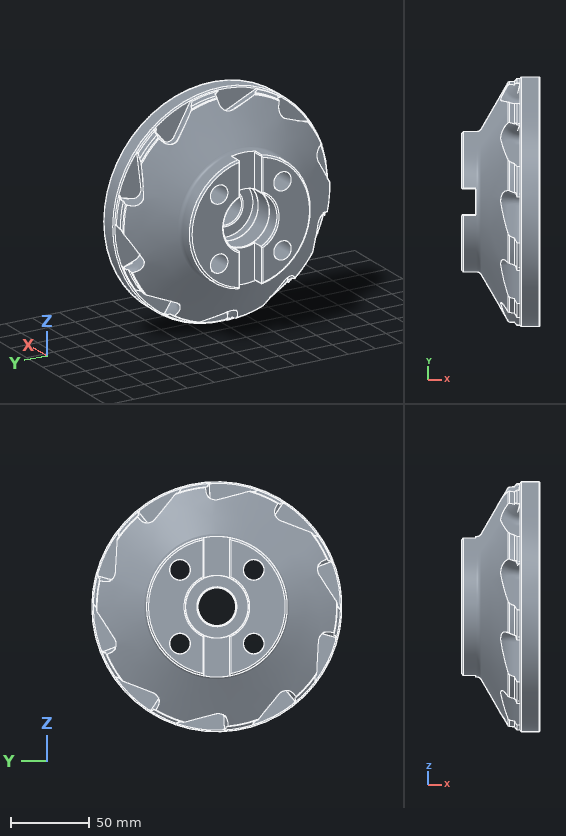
import cadquery as cq
import math

total_length = 50.1

hub_radius = 45.0
hub_chamfer = 1.3
hub_straight_end = 9.7
hub_fillet_end = 12.7
hub_fillet_mid = (11.4, 45.5)

cone_angle = 60.0
cone_start_radius = 47.0
cone_end_radius = 76.6
band_radius = 77.0
band_start = 30.6
band_end = 33.7
shoulder_radius = 79.0
shoulder_start = 35.4

rim_radius = 80.0
rim_start = 37.3
rim_front_chamfer = 1.0
rim_back_chamfer = 0.6

bore_radius = 20.0
bore_mouth_chamfer = 1.0
bore_depth = 31.0
relief_radius = 20.15
relief_start = 10.6
relief_end = 24.5
through_radius = 12.0
through_chamfer = 0.8

slot_width = 16.4
slot_depth = 9.0
slot_chamfer = 0.7
slot_mouth_chamfer = 0.8

bolt_hole_diameter = 13.0
bolt_circle_diameter = 66.7
bolt_count = 4
bolt_start_angle = 45.0

pocket_count = 10
pocket_corner_radius = 5.2
pocket_corner_offset = 0.9
pocket_corner_height = 68.4
pocket_flank_angle = 25.0
pocket_flank_length = 45.0
pocket_wall_lean = 3.0
pocket_sweep_radius = 16.5
pocket_sweep_angle = 90.0


def turned_body():
    """Revolve the outer outline; outline points are (x, radius)."""
    cone_length = (cone_end_radius - cone_start_radius) / math.tan(math.radians(cone_angle))
    return (
        cq.Workplane("XY")
        .moveTo(0, 0)
        .lineTo(0, hub_radius - hub_chamfer)
        .lineTo(hub_chamfer, hub_radius)
        .lineTo(hub_straight_end, hub_radius)
        .threePointArc(hub_fillet_mid, (hub_fillet_end, cone_start_radius))
        .lineTo(hub_fillet_end + cone_length, cone_end_radius)
        .lineTo(band_start, band_radius)
        .lineTo(band_end, band_radius)
        .lineTo(shoulder_start, shoulder_radius)
        .lineTo(rim_start, shoulder_radius)
        .lineTo(rim_start + rim_front_chamfer, rim_radius)
        .lineTo(total_length - rim_back_chamfer, rim_radius)
        .lineTo(total_length, rim_radius - rim_back_chamfer)
        .lineTo(total_length, 0)
        .close()
        .revolve(360, (0, 0, 0), (1, 0, 0))
    )


def bore():
    """Stepped centre bore with a chamfered mouth and a slightly wider relief."""
    return (
        cq.Workplane("XY")
        .moveTo(0, 0)
        .lineTo(0, bore_radius + bore_mouth_chamfer)
        .lineTo(bore_mouth_chamfer, bore_radius)
        .lineTo(relief_start, bore_radius)
        .lineTo(relief_start, relief_radius)
        .lineTo(relief_end, relief_radius)
        .lineTo(relief_end, bore_radius)
        .lineTo(bore_depth, bore_radius)
        .lineTo(bore_depth, through_radius + through_chamfer)
        .lineTo(bore_depth + through_chamfer, through_radius)
        .lineTo(total_length, through_radius)
        .lineTo(total_length, 0)
        .close()
        .revolve(360, (0, 0, 0), (1, 0, 0))
    )


def drive_slot():
    """Slot along Z whose edges at the hub face are chamfered."""
    half = slot_width / 2
    return (
        cq.Workplane("XY")
        .moveTo(0, -half - slot_chamfer)
        .lineTo(slot_chamfer, -half)
        .lineTo(slot_depth, -half)
        .lineTo(slot_depth, half)
        .lineTo(slot_chamfer, half)
        .lineTo(0, half + slot_chamfer)
        .close()
        .extrude(rim_radius, both=True)
    )


def slot_mouths():
    """Flared ends of the slot that chamfer its corners on the outside of the hub."""
    half = slot_width / 2
    corner_z = math.sqrt(hub_radius**2 - half**2)
    throat_z = corner_z - slot_mouth_chamfer
    flare = rim_radius - throat_z
    mouth = (
        cq.Workplane("YZ")
        .moveTo(-half, throat_z)
        .lineTo(-half - flare, rim_radius)
        .lineTo(half + flare, rim_radius)
        .lineTo(half, throat_z)
        .close()
        .extrude(slot_depth)
    )
    return mouth.union(mouth.mirror("XY"))


def bolt_holes():
    """Through holes on the bolt circle, at 45 degrees to the slot."""
    return (
        cq.Workplane("YZ")
        .polarArray(bolt_circle_diameter / 2, bolt_start_angle, 360, bolt_count)
        .circle(bolt_hole_diameter / 2)
        .extrude(total_length)
    )


def chip_pocket():
    """Pocket at the +Z side: its floor outline lies in the rim shoulder plane and is
    revolved toward the hub about an axis parallel to the long sloping flank."""
    flank = math.radians(pocket_flank_angle)
    along_y, along_z = -math.cos(flank), math.sin(flank)
    outward_y, outward_z = math.sin(flank), math.cos(flank)
    lean = math.radians(pocket_wall_lean)
    centre_y, centre_z = -pocket_corner_offset, pocket_corner_height

    wall_start = (
        centre_y + pocket_corner_radius * math.cos(lean),
        centre_z - pocket_corner_radius * math.sin(lean),
    )
    middle_turn = (lean + math.pi / 2 + flank) / 2
    corner_middle = (
        centre_y + pocket_corner_radius * math.cos(middle_turn),
        centre_z - pocket_corner_radius * math.sin(middle_turn),
    )
    flank_start = (
        centre_y - pocket_corner_radius * outward_y,
        centre_z - pocket_corner_radius * outward_z,
    )
    flank_end = (
        flank_start[0] + pocket_flank_length * along_y,
        flank_start[1] + pocket_flank_length * along_z,
    )

    axis_start = (
        flank_start[0] + pocket_sweep_radius * outward_y,
        flank_start[1] + pocket_sweep_radius * outward_z,
    )
    axis_end = (
        axis_start[0] + pocket_flank_length * along_y,
        axis_start[1] + pocket_flank_length * along_z,
    )
    wall_length = (
        (axis_start[0] - wall_start[0]) * outward_y + (axis_start[1] - wall_start[1]) * outward_z
    ) / math.cos(flank - lean)
    wall_top = (
        wall_start[0] + wall_length * math.sin(lean),
        wall_start[1] + wall_length * math.cos(lean),
    )

    return (
        cq.Workplane("YZ", origin=(rim_start, 0, 0))
        .moveTo(*wall_top)
        .lineTo(*wall_start)
        .threePointArc(corner_middle, flank_start)
        .lineTo(*flank_end)
        .lineTo(*axis_end)
        .close()
        .revolve(pocket_sweep_angle, axis_end, axis_start)
    )


result = turned_body().cut(drive_slot()).cut(slot_mouths()).cut(bore()).cut(bolt_holes())

pocket = chip_pocket()
for index in range(pocket_count):
    turn = index * 360 / pocket_count
    result = result.cut(pocket.rotate((0, 0, 0), (1, 0, 0), turn))